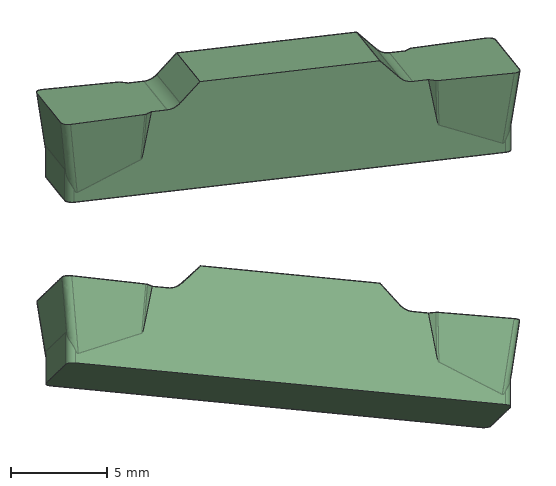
import cadquery as cq
import math

length = 24.95
height = 5.97
cutting_width = 5.05
corner_radius = 0.4
shoulder_radius = 0.2

body_width = 4.15
body_length = 24.25
crest_length = 9.78
land_height = 4.6
ramp_angle = math.radians(45)
ramp_fillet = 1.0

side_relief = math.radians(6)
front_relief = math.radians(7)
shoulder_relief = math.radians(6.5)
back_taper = math.radians(2.5)
shoulder_angle = math.radians(35)
head_length = 4.57


def make_body():
    """Bar with rounded end corners and a raised crest between two flat lands."""
    half_length = body_length / 2
    half_crest = crest_length / 2
    ramp_foot = half_crest + (height - land_height) / math.tan(ramp_angle)
    body = (
        cq.Workplane("YZ")
        .polyline([
            (-half_length, 0),
            (half_length, 0),
            (half_length, land_height),
            (ramp_foot, land_height),
            (half_crest, height),
            (-half_crest, height),
            (-ramp_foot, land_height),
            (-half_length, land_height),
        ])
        .close()
        .extrude(body_width / 2, both=True)
    )
    body = body.edges("|Z").fillet(corner_radius)
    for y in (-ramp_foot, ramp_foot):
        foot_edge = cq.selectors.NearestToPointSelector((0, y, land_height))
        body = body.edges(foot_edge).fillet(ramp_fillet)
    return body


def head_outline(depth):
    """Corner points of the head at a given depth below the land."""
    front_y = -length / 2 + depth * math.tan(front_relief)
    side_inset = depth * math.tan(side_relief)
    shoulder_inset = depth * math.tan(shoulder_relief)

    widest_y = -length / 2 + corner_radius

    def side_x(y):
        return cutting_width / 2 - side_inset - (y - widest_y) * math.tan(back_taper)

    neck_y = -length / 2 + head_length
    neck_x = side_x(neck_y)
    land_neck_x = neck_x + side_inset
    tip_y = neck_y + land_neck_x / math.tan(shoulder_angle) - shoulder_inset / math.sin(shoulder_angle)

    slope_difference = math.tan(shoulder_angle) - math.tan(back_taper)
    meet_y = neck_y + ((tip_y - neck_y) * math.tan(shoulder_angle) - neck_x) / slope_difference
    meet_x = side_x(meet_y)
    front_x = side_x(front_y)
    return [
        (-front_x, front_y),
        (front_x, front_y),
        (meet_x, meet_y),
        (0, tip_y),
        (-meet_x, meet_y),
    ]


def make_head():
    """Relieved cutting head at the -Y end, its inner point buried in the body."""
    head = (
        cq.Workplane("XY")
        .polyline(head_outline(land_height))
        .close()
        .workplane(offset=land_height)
        .polyline(head_outline(0))
        .close()
        .loft(ruled=True)
    )
    mid_height = land_height / 2
    outline = head_outline(mid_height)
    for corner, radius in ((1, corner_radius), (2, shoulder_radius)):
        x, y = outline[corner]
        for edge_x in (-x, x):
            edge = cq.selectors.NearestToPointSelector((edge_x, y, mid_height))
            head = head.edges(edge).fillet(radius)
    return head


head = make_head()
opposite_head = head.rotate((0, 0, 0), (0, 0, 1), 180)
result = make_body().union(head).union(opposite_head).clean()